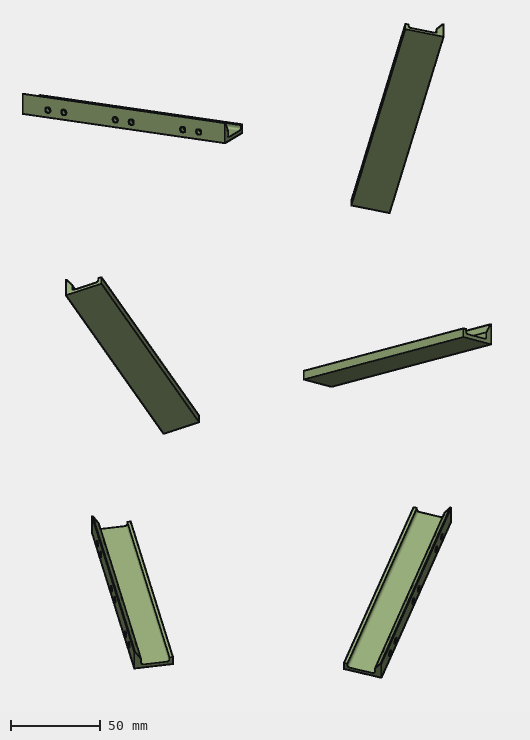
import cadquery as cq

length = 126.0
width = 22.0
height = 11.7

floor_thickness = 2.3
lip_height = 5.0
lip_thickness = 2.0
wall_thickness = 3.9
wall_shoulder_height = 6.3
wall_crest_width = 0.5
root_radius = 1.5

hole_diameter = 2.9
countersink_diameter = 3.4
countersink_angle = 90
hole_height = 4.4
pair_count = 3
pair_pitch = length / pair_count
hole_spacing = 10.0
first_pair_x = 20.7


def make_channel():
    """Channel with a low back lip and a tall front wall that tapers to its crest."""
    lip_inner_y = width - lip_thickness
    profile = (
        cq.Workplane("YZ")
        .polyline([
            (0, 0),
            (width, 0),
            (width, lip_height),
            (lip_inner_y, lip_height),
            (lip_inner_y, floor_thickness),
            (wall_thickness, floor_thickness),
            (wall_thickness, wall_shoulder_height),
            (wall_crest_width, height),
            (0, height),
        ])
        .close()
    )
    channel = profile.extrude(length)
    for root_y in (wall_thickness, lip_inner_y):
        root = cq.selectors.NearestToPointSelector((length / 2, root_y, floor_thickness))
        channel = channel.edges(root).fillet(root_radius)
    return channel


def drill_wall(channel):
    """Countersunk holes from the outer face through the tall wall only."""
    hole_points = []
    for pair in range(pair_count):
        pair_x = first_pair_x + pair * pair_pitch
        hole_points.append((pair_x - hole_spacing / 2, hole_height))
        hole_points.append((pair_x + hole_spacing / 2, hole_height))
    drill_depth = wall_thickness + root_radius
    return (
        cq.Workplane("XZ")
        .add(channel)
        .pushPoints(hole_points)
        .cskHole(hole_diameter, countersink_diameter, countersink_angle, depth=drill_depth)
    )


result = drill_wall(make_channel())